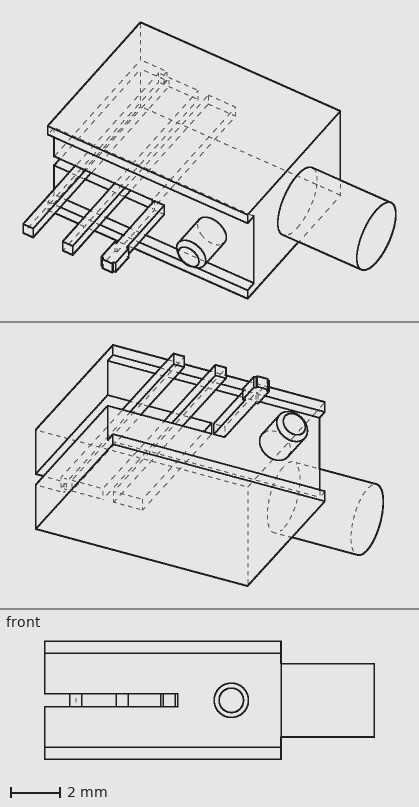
import cadquery as cq

housing_length = 9.65
housing_depth = 7.11
housing_height = 4.83
lip_thickness = 0.49
lip_overhang = 0.49
slot_web_thickness = 0.25

overall_length = 13.46
barrel_diameter = 3.0
barrel_back_offset = 3.3
barrel_center_y = housing_depth - barrel_back_offset

lead_width = 0.49
lead_thickness = 0.52
lead_count = 3
lead_pitch = 1.905
first_lead_x = 1.27
lead_reach = 3.5

swage_width = 0.69
swage_length = 1.02
swage_tip_gap = 0.1

peg_diameter = 1.4
peg_chamfer = 0.2
peg_reach = 1.29
peg_x = 7.62

last_lead_x = first_lead_x + (lead_count - 1) * lead_pitch
slot_length = last_lead_x - swage_width / 2
lead_back_y = housing_depth - slot_web_thickness


def block(x_range, y_range, height):
    """Box spanning the given X and Y ranges, centred on Z = 0."""
    x_start, x_end = x_range
    y_start, y_end = y_range
    return (
        cq.Workplane("XY")
        .box(x_end - x_start, y_end - y_start, height, centered=(False, False, True))
        .translate((x_start, y_start, 0))
    )


def make_housing():
    """Block with a recessed front between two lips and a lead slot, closed at the back by a thin web.

    The web starts behind the middle of the first lead, so the slot is open to the back on the -X side of it.
    """
    body = block((0, housing_length), (0, housing_depth), housing_height)
    recess = block((0, housing_length), (0, lip_overhang), housing_height - 2 * lip_thickness)
    slot = block((0, slot_length), (0, housing_depth), lead_thickness)
    web = block((first_lead_x, slot_length), (lead_back_y, housing_depth), lead_thickness)
    return body.cut(recess).cut(slot.cut(web))


def make_barrel():
    """Round barrel standing on the +X face."""
    return (
        cq.Workplane("YZ", origin=(housing_length, barrel_center_y, 0))
        .circle(barrel_diameter / 2)
        .extrude(overall_length - housing_length)
    )


def make_peg():
    """Locating peg with a chamfered tip, standing on the recessed front face."""
    return (
        cq.Workplane("XZ", origin=(peg_x, lip_overhang, 0))
        .circle(peg_diameter / 2)
        .extrude(lip_overhang + peg_reach)
        .faces("<Y")
        .chamfer(peg_chamfer)
    )


def make_lead(center_x):
    """Straight lead running from the slot web out past the lips."""
    half_width = lead_width / 2
    return block((center_x - half_width, center_x + half_width), (-lead_reach, lead_back_y), lead_thickness)


def make_swage():
    """Widened stretch just behind the tip of the last lead."""
    half_width = swage_width / 2
    front_y = -lead_reach + swage_tip_gap
    x_range = (last_lead_x - half_width, last_lead_x + half_width)
    return block(x_range, (front_y, front_y + swage_length), lead_thickness)


result = make_housing().union(make_barrel()).union(make_peg())
for index in range(lead_count):
    result = result.union(make_lead(first_lead_x + index * lead_pitch))
result = result.union(make_swage())